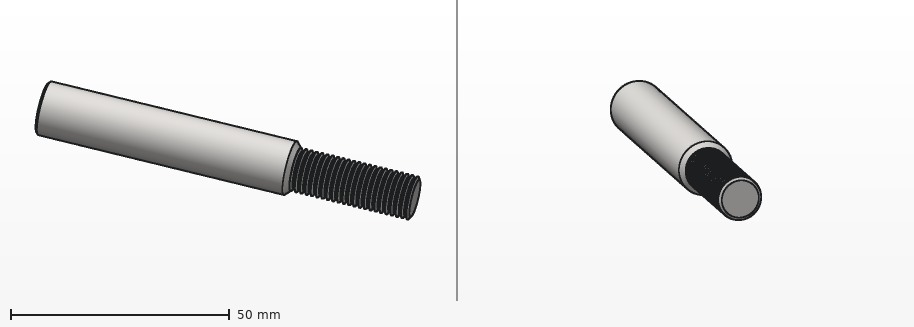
import cadquery as cq
import math

total_length = 88.9
shank_diameter = 12.7
end_chamfer = 0.5

crest_diameter = 10.2
ridge_count = 22
thread_span = 27.9
thread_pitch = thread_span / ridge_count
thread_angle = 60.0
crest_width = 0.12
root_width = 0.32
last_crest_setback = 0.54

shank_radius = shank_diameter / 2
crest_radius = crest_diameter / 2
flank_length = (thread_pitch - crest_width - root_width) / 2
thread_depth = flank_length / math.tan(math.radians(thread_angle / 2))
root_radius = crest_radius - thread_depth

plain_end = -total_length / 2
threaded_end = total_length / 2
last_crest_x = threaded_end - last_crest_setback
shoulder_crest_x = last_crest_x - thread_span
shoulder_end_x = shoulder_crest_x - crest_width / 2
shoulder_start_x = shoulder_end_x - (shank_radius - crest_radius)


def rising_flank(crest_x):
    """Root edge and crest edge on the plain-end side of a crest."""
    crest_edge_x = crest_x - crest_width / 2
    return [(crest_edge_x - flank_length, root_radius), (crest_edge_x, crest_radius)]


def falling_flank(crest_x):
    """Crest edge and root edge on the threaded-end side of a crest."""
    crest_edge_x = crest_x + crest_width / 2
    return [(crest_edge_x, crest_radius), (crest_edge_x + flank_length, root_radius)]


def pin_outline():
    """Half section of the pin as (x, radius) points, from axis to axis."""
    points = [
        (plain_end, 0),
        (plain_end, shank_radius - end_chamfer),
        (plain_end + end_chamfer, shank_radius),
        (shoulder_start_x, shank_radius),
        (shoulder_end_x, crest_radius),
    ]
    points += falling_flank(shoulder_crest_x)
    for ridge in range(1, ridge_count + 1):
        crest_x = shoulder_crest_x + ridge * thread_pitch
        points += rising_flank(crest_x) + falling_flank(crest_x)
    points += [(threaded_end, root_radius), (threaded_end, 0)]
    return points


result = cq.Workplane("XY").polyline(pin_outline()).close().revolve(360, (0, 0, 0), (1, 0, 0))